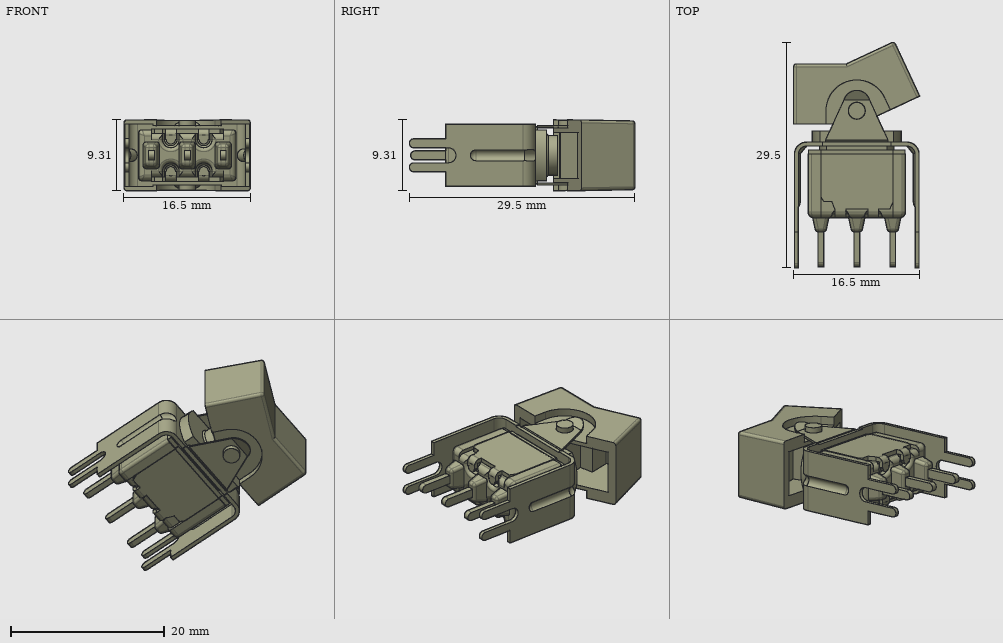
import cadquery as cq
import math


tilt = 12.5
wing_reach = 8.27
wing_top = 6.13
wing_bottom = -1.75
rocker_half_depth = 4.67
draft = 1.0
rocker_fillet = 0.4
pin_radius = 2.18 / 2
pin_half_length = 4.58
recess_radius = 4.02
recess_half_gap = 3.55
cavity_half_depth = 3.0
end_wall = 1.12
cavity_ceiling = wing_top - end_wall
core_half_width = 2.4
core_bottom = 2.76
rib_half_thickness = 0.43
rib_bottom = -0.9

bracket_half_length = 8.16
bracket_half_depth = 4.06
bracket_top = -4.08
bracket_sheet = 0.53
bend_radius = 1.65
shoulder_y = -15.83
prong_tip_y = -20.57
prong_width = 1.2
prong_gap = 1.94
gap_center_y = -15.44
waist_half_length = 4.45
rib_radius = 1.09
rib_groove_radius = 0.77
rib_depth = 0.79
rib_start_y = -5.5
rib_end_y = -11.87
gusset_leg_y = -5.63
gusset_plate_x = 6.53

ear_outer_z = 3.88
ear_sheet = 0.28
ear_base_half = 4.07
ear_base_y = -3.8
ear_bend_y = 1.37
ear_tip_radius = 3.5 / 2
ear_tip_y = 2.66
ear_flare = 25.0
ear_hole_radius = 2.23 / 2

bushing_radius = 5.23 / 2
bushing_top = -1.2
bushing_cone_y = -2.4
cone_radius = 2.82
collar_top = -2.63
collar_radius = 5.82
collar_half_depth = 3.33
neck_radius = 4.9
neck_half_depth = 2.92

case_half_length = 6.37
case_half_depth = 3.33
case_top = -5.1
case_bottom = -14.0
case_band = 0.56
cap_inset = 0.06
cap_half_depth = 3.1
cap_front_half_depth = 3.3
case_corner_fillet = 0.45
case_bottom_fillet = 0.78
slot_half_length = 4.7
slot_half_depth = 2.85
cover_half_depth = 3.43
cover_bottom = -12.86
clip_corner_top = -11.26
clip_corner_y = -11.87
clip_corner_x = -4.28
clip_end_x = -3.26
small_clip_x = 4.3
small_clip_y = -12.0
tab_x = 2.15
tab_width = 1.43
tab_center_z = 2.08
tab_tip_radius = 0.6
tab_sheet = 0.5
well_floor_radius = 0.82
well_radius = 2.18 / 2
well_mouth_radius = 1.6
well_depth = 0.9

terminal_pitch = 4.7
terminal_thickness = 0.78
terminal_width = 1.2
terminal_tip_y = -20.4
potting_top_y = -13.9
potting_end_y = -15.83
potting_size_x = 2.17
potting_size_z = 3.57
potting_taper = 12.0
potting_corner_fillet = 0.45
potting_end_fillet = 0.45


def slab(x_min, x_max, y_min, y_max, half_z):
    """Box centred on Z = 0."""
    box = cq.Workplane("XY").box(x_max - x_min, y_max - y_min, 2 * half_z)
    return box.translate(((x_min + x_max) / 2, (y_min + y_max) / 2, 0))


def both_sides(shape):
    """The shape together with its mirror image across the XY plane."""
    return shape.union(shape.mirror("XY"))


def wing_point(side, along, up):
    """Point of the untilted rocker, given in the axes of one wing (side is +1 or -1)."""
    angle = math.radians(tilt)
    x = along * math.cos(angle) - up * math.sin(angle)
    y = along * math.sin(angle) + up * math.cos(angle)
    return (side * x, y)


def wing_prism(reach, bottom, top, half_z):
    """Both wings as one chevron-shaped prism."""
    rise = 1 / math.cos(math.radians(tilt))
    points = [
        (0, top * rise),
        wing_point(1, reach, top),
        wing_point(1, reach, bottom),
        (0, bottom * rise),
        wing_point(-1, reach, bottom),
        wing_point(-1, reach, top),
    ]
    return cq.Workplane("XY").polyline(points).close().extrude(half_z, both=True)


def wing_box(side, along_min, along_max, up_min, up_max, half_z):
    corners = [(along_min, up_min), (along_max, up_min), (along_max, up_max), (along_min, up_max)]
    points = [wing_point(side, along, up) for along, up in corners]
    return cq.Workplane("XY").polyline(points).close().extrude(half_z, both=True)


def rocker_shell():
    """Chevron with drafted faces and every edge rounded except at the knee and the underside."""
    underside_y = wing_bottom / math.cos(math.radians(tilt))
    top_y = wing_top + wing_reach
    top_half = rocker_half_depth - (top_y - underside_y) * math.tan(math.radians(draft))
    drafted = (
        cq.Workplane("YZ")
        .polyline([
            (underside_y, -rocker_half_depth),
            (underside_y, rocker_half_depth),
            (top_y, top_half),
            (top_y, -top_half),
        ])
        .close()
        .extrude(2 * wing_reach, both=True)
    )
    shell = wing_prism(wing_reach, wing_bottom, wing_top, 2 * rocker_half_depth).intersect(drafted)

    def rounded(edge):
        center = edge.Center()
        angle = math.radians(tilt)
        height = center.y * math.cos(angle) - abs(center.x) * math.sin(angle)
        at_knee = abs(center.x) < rocker_fillet and abs(center.z) < rocker_fillet
        return height > wing_bottom + rocker_fillet and not at_knee

    return shell.edges().filter(rounded).fillet(rocker_fillet)


def make_rocker():
    body = rocker_shell()
    recess = cq.Workplane("XY").circle(recess_radius).extrude(rocker_half_depth)
    for side in (1, -1):
        recess = recess.union(
            wing_box(side, 0, recess_radius, 2 * wing_bottom, 0, rocker_half_depth)
        )
    ear_gap = slab(-wing_reach, wing_reach, -wing_reach, wing_reach, recess_half_gap)
    body = body.cut(both_sides(recess).cut(ear_gap))
    cavity = wing_prism(wing_reach - end_wall, 2 * wing_bottom, cavity_ceiling, cavity_half_depth)
    core = slab(-core_half_width, core_half_width, core_bottom, wing_reach, cavity_half_depth)
    rib = slab(
        -rib_half_thickness, rib_half_thickness, rib_bottom, core_bottom, cavity_half_depth
    )
    body = body.cut(cavity.cut(core).cut(rib))
    pin = (
        cq.Workplane("XY")
        .workplane(offset=cavity_half_depth)
        .circle(pin_radius)
        .extrude(pin_half_length - cavity_half_depth)
    )
    body = body.union(both_sides(pin))
    return body.rotate((0, 0, 0), (0, 0, 1), tilt)


def bracket_block(half_length, top, radius):
    block = slab(-half_length, half_length, prong_tip_y - bend_radius, top, bracket_half_depth)
    return block.edges("|Z and >Y").fillet(radius)


def corner_rib(radius):
    """Round-ended cylinder along the +X leg, joined by one running diagonally across its bend."""
    crest_x = bracket_half_length - rib_depth
    axis_x = crest_x + rib_radius
    leg = (
        cq.Workplane("XZ", origin=(0, rib_start_y, 0))
        .center(axis_x, 0)
        .circle(radius)
        .extrude(rib_start_y - rib_end_y)
    )
    crest_start = cq.Vector(crest_x, gusset_leg_y, 0)
    crest_end = cq.Vector(gusset_plate_x, bracket_top - bracket_sheet, 0)
    direction = (crest_end - crest_start).normalized()
    outward = cq.Vector(direction.y, -direction.x, 0)
    start = crest_start + outward * rib_radius - direction * rib_radius
    length = (crest_end - crest_start).Length + 2 * rib_radius
    diagonal = cq.Solid.makeCylinder(radius, length, start, direction)
    round_end = cq.Workplane("XY").sphere(radius).translate((axis_x, rib_end_y, 0))
    return leg.union(round_end).union(cq.Workplane(obj=diagonal))


def make_bracket():
    outer = bracket_block(bracket_half_length, bracket_top, bend_radius)
    inner = bracket_block(
        bracket_half_length - bracket_sheet, bracket_top - bracket_sheet, bend_radius - bracket_sheet
    )
    rib = corner_rib(rib_radius)
    rib = rib.union(rib.mirror("YZ"))
    groove = corner_rib(rib_groove_radius)
    groove = groove.union(groove.mirror("YZ"))
    body = outer.cut(inner).union(outer.intersect(rib)).cut(groove)

    prong_z = (prong_gap + prong_width) / 2
    prong_center_y = prong_tip_y + prong_width / 2
    outline = slab(
        -bracket_half_length, bracket_half_length, shoulder_y, bracket_top, bracket_half_depth
    )
    for z in (prong_z, -prong_z):
        prong = (
            cq.Workplane("YZ")
            .center(prong_center_y, z)
            .circle(prong_width / 2)
            .extrude(bracket_half_length, both=True)
        )
        shank = slab(
            -bracket_half_length, bracket_half_length, prong_center_y, shoulder_y, prong_width / 2
        )
        outline = outline.union(prong).union(shank.translate((0, 0, z)))
    gap = (
        cq.Workplane("YZ")
        .center(gap_center_y, 0)
        .circle(prong_gap / 2)
        .extrude(bracket_half_length, both=True)
        .union(slab(
            -bracket_half_length, bracket_half_length, shoulder_y, gap_center_y, prong_gap / 2
        ))
    )
    body = body.intersect(outline.cut(gap))

    waist = slab(
        -waist_half_length, waist_half_length, shoulder_y, bracket_top, bracket_half_depth
    ).cut(slab(-waist_half_length, waist_half_length, shoulder_y, bracket_top, ear_outer_z))
    return body.cut(waist)


def make_ears():
    """Triangular ears with flared round tips, joined by a foot plate on the bracket."""
    tip_center_y = ear_tip_y - ear_tip_radius
    tip_reach = math.sqrt(ear_tip_radius ** 2 - (ear_bend_y - tip_center_y) ** 2)
    outline = (
        cq.Workplane("XY")
        .moveTo(-ear_base_half, ear_base_y)
        .lineTo(-tip_reach, ear_bend_y)
        .threePointArc((0, ear_tip_y), (tip_reach, ear_bend_y))
        .lineTo(ear_base_half, ear_base_y)
        .lineTo(ear_base_half, bracket_top)
        .lineTo(-ear_base_half, bracket_top)
        .close()
        .extrude(bracket_half_length, both=True)
    )
    flare_rise = (ear_tip_y - ear_bend_y) * math.tan(math.radians(ear_flare))
    ear_inner_z = ear_outer_z - ear_sheet
    foot_top = bracket_top + ear_sheet
    section = (
        cq.Workplane("YZ")
        .polyline([
            (bracket_top, 0),
            (foot_top, 0),
            (foot_top, ear_inner_z),
            (ear_bend_y, ear_inner_z),
            (ear_tip_y, ear_inner_z + flare_rise),
            (ear_tip_y, ear_outer_z + flare_rise),
            (ear_bend_y, ear_outer_z),
            (foot_top, ear_outer_z),
            (bracket_top, ear_inner_z),
        ])
        .close()
        .extrude(ear_base_half, both=True)
    )
    section = both_sides(section)
    hole = cq.Workplane("XY").circle(ear_hole_radius).extrude(bracket_half_depth, both=True)
    return outline.intersect(section).cut(hole)


def disc(radius, y_min, y_max):
    return cq.Workplane("XZ", origin=(0, y_max, 0)).circle(radius).extrude(y_max - y_min)


def make_bushing():
    cone = cq.Solid.makeCone(
        bushing_radius, cone_radius, bushing_cone_y - collar_top,
        cq.Vector(0, bushing_cone_y, 0), cq.Vector(0, -1, 0),
    )
    collar = disc(collar_radius, bracket_top, collar_top)
    collar = collar.intersect(
        slab(-collar_radius, collar_radius, bracket_top, collar_top, collar_half_depth)
    )
    neck_top = bracket_top - bracket_sheet
    neck = disc(neck_radius, case_top, neck_top)
    neck = neck.intersect(slab(-neck_radius, neck_radius, case_top, neck_top, neck_half_depth))
    stem = disc(bushing_radius, collar_top, bushing_top)
    return stem.union(cq.Workplane(obj=cone)).union(collar).union(neck)


def make_cover():
    """Cover sheet with one clipped corner and two tabs folded under the case, on the +Z side."""
    tab_half = tab_width / 2
    sheet = (
        cq.Workplane("XY")
        .workplane(offset=slot_half_depth)
        .moveTo(-slot_half_length, case_top - case_band)
        .lineTo(-slot_half_length, clip_corner_top)
        .lineTo(clip_corner_x, clip_corner_y)
        .lineTo(clip_end_x, clip_corner_y)
        .lineTo(-tab_x - tab_half, cover_bottom)
        .lineTo(small_clip_x, cover_bottom)
        .lineTo(slot_half_length, small_clip_y)
        .lineTo(slot_half_length, case_top - case_band)
        .close()
        .extrude(cover_half_depth - slot_half_depth)
    )
    tab_section = (
        cq.Workplane("YZ")
        .moveTo(cover_bottom, slot_half_depth)
        .lineTo(cover_bottom, cover_half_depth)
        .lineTo(case_bottom + case_bottom_fillet, cover_half_depth)
        .radiusArc((case_bottom, cover_half_depth - case_bottom_fillet), -case_bottom_fillet)
        .lineTo(case_bottom, tab_center_z)
        .lineTo(case_bottom + tab_sheet, tab_center_z)
        .lineTo(case_bottom + tab_sheet, slot_half_depth)
        .close()
        .extrude(tab_half, both=True)
    )
    tip = disc(tab_tip_radius, case_bottom, case_bottom + tab_sheet).translate((0, 0, tab_center_z))
    tab = tab_section.union(tip)
    for x in (-tab_x, tab_x):
        sheet = sheet.union(tab.translate((x, 0, 0)))
    return sheet


def well_half_profile():
    """Half of the well section, flaring out to the case bottom."""
    flare = well_mouth_radius - well_radius
    return (
        cq.Workplane("XY")
        .moveTo(0, case_bottom)
        .lineTo(well_mouth_radius, case_bottom)
        .radiusArc((well_radius, case_bottom + flare), flare)
        .lineTo(well_floor_radius, case_bottom + well_depth)
        .lineTo(0, case_bottom + well_depth)
        .close()
    )


def tab_well():
    """U-shaped well for a tab, open towards the cover."""
    round_end = well_half_profile().revolve(360, (0, 0, 0), (0, 1, 0))
    half_channel = well_half_profile().extrude(slot_half_depth - tab_center_z)
    well = round_end.union(half_channel).union(half_channel.mirror("YZ"))
    return well.translate((0, 0, tab_center_z))


def make_case():
    cap_bottom = case_top - case_band
    cap_half_length = case_half_length - cap_inset
    shell = slab(-case_half_length, case_half_length, case_bottom, cap_bottom, case_half_depth)
    shell = shell.faces("<Y").edges().fillet(case_bottom_fillet)
    shell = shell.edges("|Y").fillet(case_corner_fillet)
    cap = slab(-cap_half_length, cap_half_length, cap_bottom, case_top, cap_half_depth)
    cap_front = slab(
        -slot_half_length, slot_half_length, cap_bottom, case_top, cap_front_half_depth
    )
    slot = slab(-slot_half_length, slot_half_length, case_bottom, cap_bottom, case_half_depth)
    core = slab(-slot_half_length, slot_half_length, case_bottom, case_top, slot_half_depth)
    core = core.faces("<Y").edges("|X").fillet(case_bottom_fillet)
    body = shell.cut(slot).union(core).union(cap).union(cap_front)
    well = tab_well()
    for x in (-tab_x, tab_x):
        placed = well.translate((x, 0, 0))
        body = body.cut(placed).cut(placed.mirror("XY"))
    return body.union(both_sides(make_cover()))


def make_terminal():
    """Flat round-ended blade in its tapered potting."""
    half_width = terminal_width / 2
    round_y = terminal_tip_y + half_width
    blade = (
        cq.Workplane("YZ")
        .moveTo(case_bottom, half_width)
        .lineTo(round_y, half_width)
        .threePointArc((terminal_tip_y, 0), (round_y, -half_width))
        .lineTo(case_bottom, -half_width)
        .close()
        .extrude(terminal_thickness / 2, both=True)
    )
    potting = (
        cq.Workplane("XZ", origin=(0, potting_top_y, 0))
        .rect(potting_size_x, potting_size_z)
        .extrude(potting_top_y - potting_end_y, taper=potting_taper)
    )
    potting = potting.edges("not(#Y)").fillet(potting_corner_fillet)
    potting = potting.faces("<Y").edges().fillet(potting_end_fillet)
    return blade.union(potting)


def make_base():
    body = make_bracket().union(make_ears()).union(make_bushing()).union(make_case())
    for position in (-1, 0, 1):
        body = body.union(make_terminal().translate((position * terminal_pitch, 0, 0)))
    return body


rocker = make_rocker()
base = make_base()
result = cq.Compound.makeCompound([*rocker.solids().vals(), *base.solids().vals()])